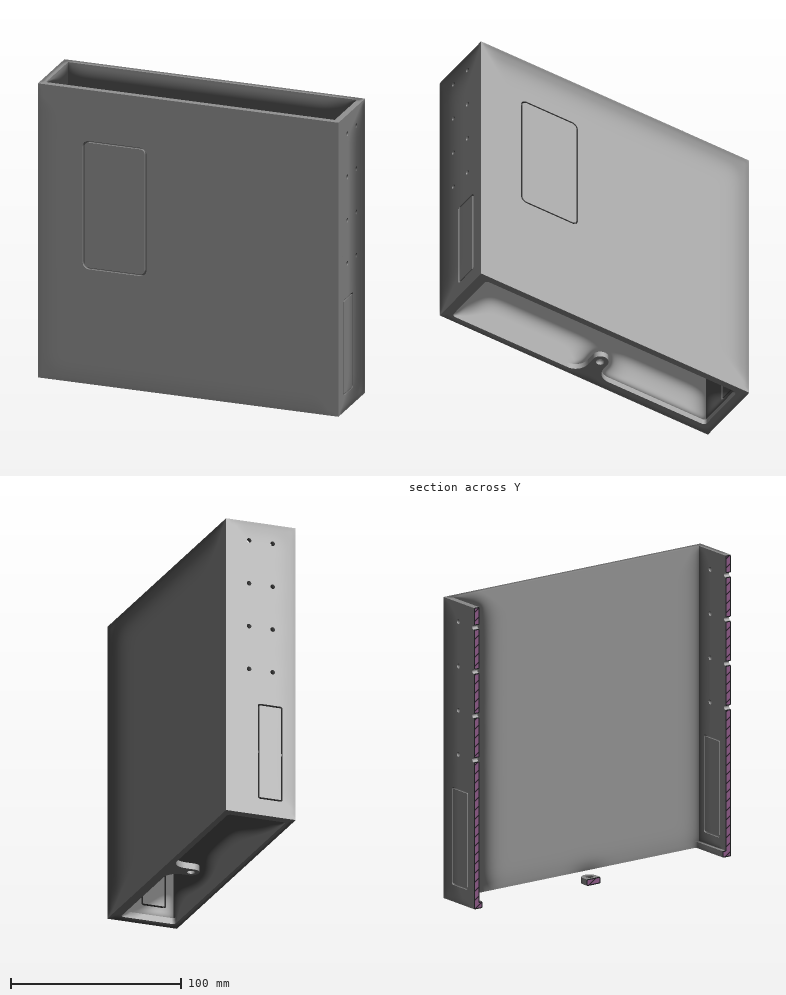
import cadquery as cq

length = 189.0
depth = 44.0
height = 184.0
wall = 3.8

ledge = 2.3
opening_corner_radius = 2.0
tab_x = 101.1
hole_to_back = 18.1
tab_radius = 5.0
tab_root_radius = 8.5
tab_hole_diameter = 5.0

side_hole_diameter = 2.8
side_hole_rows = 4
side_hole_pitch_z = 27.0
side_hole_pitch_y = 15.0
top_row_offset = 12.0

panel_gap = 1.04
front_panel_left = 28.2
front_panel_bottom = 71.8
front_panel_width = 40.0
front_panel_height = 80.3
front_panel_radius = 4.0
front_groove_depth = wall / 2

side_panel_front = 8.3
side_panel_bottom = 10.2
side_panel_width = 15.7
side_panel_height = 60.0
side_panel_radius = 1.5
bridge_size = 1.5


def panel_ring(plane, center, width, tall, corner_radius, thickness):
    """Rounded rectangular frame, one gap wide, extruded along the plane normal."""

    def rounded_block(inset):
        outline = cq.Sketch().rect(width - 2 * inset, tall - 2 * inset)
        outline = outline.vertices().fillet(corner_radius - inset)
        return cq.Workplane(plane).center(*center).placeSketch(outline).extrude(thickness)

    return rounded_block(0).cut(rounded_block(panel_gap))


def make_shell():
    """Four walls and a full floor, open at the top."""
    block = cq.Workplane("XY").box(length, depth, height, centered=False)
    cavity = cq.Workplane("XY").box(
        length - 2 * wall, depth - 2 * wall, height - wall, centered=False
    )
    return block.cut(cavity.translate((wall, wall, wall)))


def make_floor_opening():
    """Opening flush with the front wall and with the back wall left of the tab."""
    left = wall + ledge
    right = length - left
    front = wall
    back_left = depth - wall
    back_right = back_left - ledge
    tab_left = tab_x - tab_radius
    tab_right = tab_x + tab_radius
    tab_y = depth - hole_to_back

    opening = (
        cq.Workplane("XY")
        .moveTo(left, front)
        .lineTo(right, front)
        .lineTo(right, back_right)
        .lineTo(tab_right + tab_root_radius, back_right)
        .radiusArc((tab_right, back_right - tab_root_radius), -tab_root_radius)
        .lineTo(tab_right, tab_y)
        .threePointArc((tab_x, tab_y - tab_radius), (tab_left, tab_y))
        .lineTo(tab_left, back_left - tab_root_radius)
        .radiusArc((tab_left - tab_root_radius, back_left), -tab_root_radius)
        .lineTo(left, back_left)
        .close()
        .extrude(wall)
    )
    opening = opening.edges("|Z and (<X or >X)").fillet(opening_corner_radius)
    tab_hole = cq.Workplane("XY").center(tab_x, tab_y).circle(tab_hole_diameter / 2)
    return opening.union(tab_hole.extrude(wall))


def make_side_holes():
    """Grid of holes centred on the depth, running through both end walls."""
    middle_row_z = height - top_row_offset - side_hole_pitch_z * (side_hole_rows - 1) / 2
    return (
        cq.Workplane("YZ")
        .center(depth / 2, middle_row_z)
        .rarray(side_hole_pitch_y, side_hole_pitch_z, 2, side_hole_rows)
        .circle(side_hole_diameter / 2)
        .extrude(length)
    )


def make_front_groove():
    """Shallow groove outlining the panel on the front wall."""
    center = (
        front_panel_left + front_panel_width / 2,
        front_panel_bottom + front_panel_height / 2,
    )
    return panel_ring(
        "XZ",
        center,
        front_panel_width,
        front_panel_height,
        front_panel_radius,
        -front_groove_depth,
    )


def make_side_gaps():
    """Gap through both end walls, interrupted by bridges that carry the panels."""
    center_y = side_panel_front + side_panel_width / 2
    center_z = side_panel_bottom + side_panel_height / 2
    ring = panel_ring(
        "YZ",
        (center_y, center_z),
        side_panel_width,
        side_panel_height,
        side_panel_radius,
        length,
    )
    for end_x in (wall / 2, length - wall / 2):
        bridge = cq.Workplane("XY").box(bridge_size, side_panel_width, bridge_size)
        ring = ring.cut(bridge.translate((end_x, center_y, center_z)))
    return ring


result = (
    make_shell()
    .cut(make_floor_opening())
    .cut(make_side_holes())
    .cut(make_front_groove())
    .cut(make_side_gaps())
)